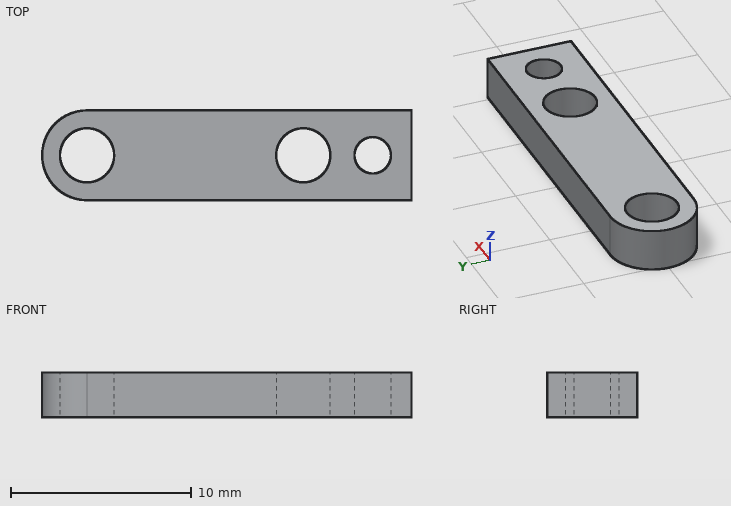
import cadquery as cq

length = 20.5
width = 5.0
thickness = 2.5
end_radius = width / 2

large_hole_diameter = 3.0
small_hole_diameter = 2.0
large_hole_spacing = 12.0
small_hole_offset = 3.85

square_end_x = length - end_radius
small_hole_x = large_hole_spacing + small_hole_offset


def bar():
    """Flat bar with one full-round end and one square end."""
    return (
        cq.Workplane("XY")
        .moveTo(0, -end_radius)
        .lineTo(square_end_x, -end_radius)
        .lineTo(square_end_x, end_radius)
        .lineTo(0, end_radius)
        .threePointArc((-end_radius, 0), (0, -end_radius))
        .close()
        .extrude(thickness)
    )


def hole_cutter(x, diameter):
    """Cylinder through the full thickness, on the centre line."""
    return cq.Workplane("XY").center(x, 0).circle(diameter / 2).extrude(thickness)


result = bar()
for hole_x, hole_diameter in (
    (0, large_hole_diameter),
    (large_hole_spacing, large_hole_diameter),
    (small_hole_x, small_hole_diameter),
):
    result = result.cut(hole_cutter(hole_x, hole_diameter))